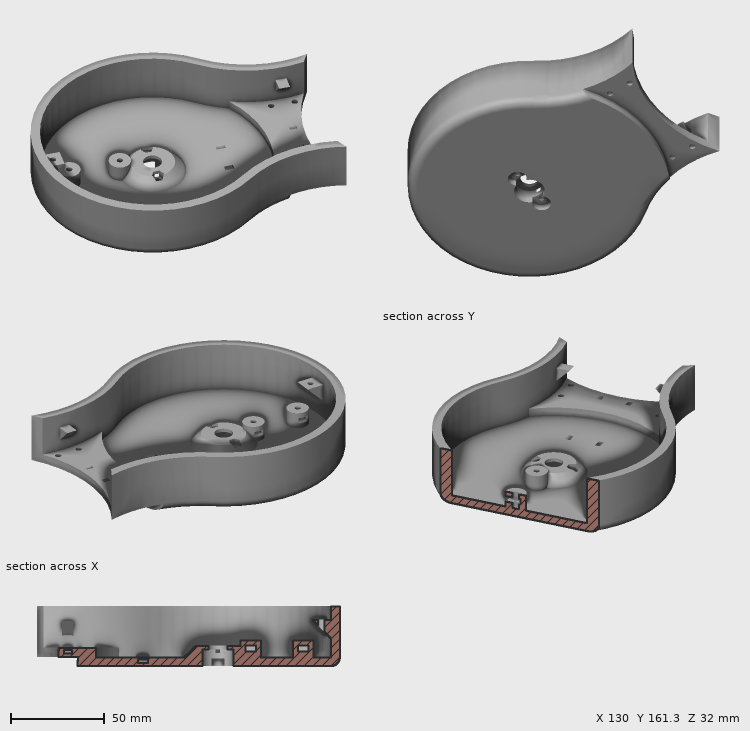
import cadquery as cq
import math

body_radius = 65.0
wall = 5.0
total_height = 32.0
floor_top = 5.0
bottom_fillet = 5.0

flank_radius = 65.0
flank_center_y = 80.0
flank_center_x = math.sqrt((body_radius + flank_radius) ** 2 - flank_center_y**2)
end_radius = 75.0
end_center_y = 160.0
neck_floor_bottom = 5.0
neck_floor_top = 10.0
base_end_radius = 75.0
step_radius = 65.0

screw_diameter = 3.4
neck_hole_x = 28.4
neck_hole_offset_y = 6.5

side_bracket_top = 24.0
front_bracket_top = 25.0
side_bracket_width = 6.0
side_bracket_tip = 25.0
front_bracket_width = 10.0
front_bracket_tip = 50.0
front_bracket_hole = 55.0

boss_base_radius = 18.0
boss_top_radius = 12.0
boss_height = 6.0
boss_top = floor_top + boss_height
bore_diameter = 10.0
seat_diameter = 16.4
seat_lip = 2.0
boss_screw_x = 11.0
screw_head_diameter = 10.0
screw_head_depth = 4.0
nut_flats = 5.8
nut_sides = 6
nut_corners = nut_flats / math.cos(math.pi / nut_sides)
boss_nut_depth = 4.0

post_x = -2.3
post_ys = (-17.4, -45.4)
post_diameter = 12.0
post_height = 9.0
post_slot_width = 5.5
post_slot_height = 3.0
post_slot_bottom = 3.0

tie_depth = 3.0
neck_tie_y = 79.9
neck_tie_width = 4.0
neck_tie_inner = 6.9
neck_tie_outer = 10.05
body_tie_y = 40.0
body_tie_width = 5.0
body_tie_inner = 7.3
body_tie_outer = 10.5


def cylinder(x, y, radius, bottom, top):
    return cq.Workplane("XY", origin=(x, y, bottom)).circle(radius).extrude(top - bottom)


def footprint(inset, bottom, top):
    """Round body blended into the neck, offset inward by inset and closed by the end arc."""
    radius = body_radius - inset
    flank = flank_radius + inset
    span = body_radius + flank_radius
    joint_x = flank_center_x * radius / span
    joint_y = flank_center_y * radius / span

    gap = math.hypot(flank_center_x, end_center_y - flank_center_y)
    along = (flank**2 - end_radius**2 + gap**2) / (2 * gap)
    across = math.sqrt(flank**2 - along**2)
    unit_x = -flank_center_x / gap
    unit_y = (end_center_y - flank_center_y) / gap
    tip_x = flank_center_x + along * unit_x - across * unit_y
    tip_y = flank_center_y + along * unit_y + across * unit_x

    waist_x = flank_center_x - flank
    return (
        cq.Workplane("XY", origin=(0, 0, bottom))
        .moveTo(joint_x, joint_y)
        .threePointArc((waist_x, flank_center_y), (tip_x, tip_y))
        .threePointArc((0, end_center_y - end_radius), (-tip_x, tip_y))
        .threePointArc((-waist_x, flank_center_y), (-joint_x, joint_y))
        .threePointArc((0, -radius), (joint_x, joint_y))
        .close()
        .extrude(top - bottom)
    )


def shell():
    outside = footprint(0, 0, total_height)
    outside = outside.faces("<Z").edges("not(>Y)").fillet(bottom_fillet)

    beyond_base = cylinder(0, 0, end_center_y, 0, neck_floor_bottom).cut(
        cylinder(0, 0, base_end_radius, 0, neck_floor_bottom)
    )
    body_cavity = footprint(wall, floor_top, total_height).intersect(
        cylinder(0, 0, step_radius, floor_top, total_height)
    )
    neck_cavity = footprint(wall, neck_floor_top, total_height)
    return outside.cut(beyond_base).cut(body_cavity).cut(neck_cavity)


def neck_holes():
    holes = cq.Workplane("XY")
    for side in (-1, 1):
        for offset in (-neck_hole_offset_y, neck_hole_offset_y):
            holes = holes.add(
                cylinder(
                    side * neck_hole_x,
                    flank_center_y + offset,
                    screw_diameter / 2,
                    neck_floor_bottom,
                    neck_floor_top,
                )
            )
    return holes.combine()


def bracket(tip, root, width, top):
    """Wedge along +X, centred on the X axis, from a sharp tip to full depth at the root."""
    depth = root - tip
    return (
        cq.Workplane("XZ", origin=(0, width / 2, 0))
        .polyline([(tip, top), (root, top), (root, top - depth)])
        .close()
        .extrude(width)
    )


def brackets():
    waist = flank_center_x - flank_radius
    right = bracket(side_bracket_tip, waist - wall / 2, side_bracket_width, side_bracket_top)
    right = right.translate((0, flank_center_y, 0))
    left = right.mirror("YZ")
    front_root = body_radius - wall / 2
    front = bracket(front_bracket_tip, front_root, front_bracket_width, front_bracket_top)
    front = front.rotate((0, 0, 0), (0, 0, 1), -90)
    hole = cylinder(0, -front_bracket_hole, screw_diameter / 2, floor_top, front_bracket_top)
    front = front.cut(hole)
    return right.union(left).union(front)


def boss():
    return (
        cq.Workplane("XZ")
        .polyline(
            [(0, floor_top), (boss_base_radius, floor_top), (boss_top_radius, boss_top), (0, boss_top)]
        )
        .close()
        .revolve(360, (0, 0, 0), (0, 1, 0))
    )


def boss_openings():
    openings = cylinder(0, 0, bore_diameter / 2, 0, boss_top)
    openings = openings.union(cylinder(0, 0, seat_diameter / 2, 0, boss_top - seat_lip))
    for x in (-boss_screw_x, boss_screw_x):
        nut = (
            cq.Workplane("XY")
            .polygon(nut_sides, nut_corners)
            .extrude(boss_nut_depth)
            .rotate((0, 0, 0), (0, 0, 1), 90)
            .translate((x, 0, boss_top - boss_nut_depth))
        )
        screw = cylinder(x, 0, screw_diameter / 2, 0, boss_top)
        head = cylinder(x, 0, screw_head_diameter / 2, 0, screw_head_depth)
        openings = openings.union(nut).union(screw).union(head)
    return openings


def post(y):
    top = floor_top + post_height
    body = cylinder(post_x, y, post_diameter / 2, floor_top, top)
    hole = cylinder(post_x, y, screw_diameter / 2, floor_top, top)

    slot_end = post_x + post_slot_width / 2
    slot_start = post_x - post_diameter / 2
    slot = cq.Workplane("XY").box(
        slot_end - slot_start, post_slot_width, post_slot_height, centered=(False, True, False)
    )
    slot = slot.translate((slot_start, y, floor_top + post_slot_bottom))
    return body.cut(hole).cut(slot)


def tie_channel(y, width, inner, outer, floor):
    """Ring about a Y-parallel axis that crosses the floor at inner and outer from the centre."""
    outer_radius = (outer**2 / tie_depth + tie_depth) / 2
    axis_height = outer_radius - tie_depth
    inner_radius = math.hypot(inner, axis_height)
    return (
        cq.Workplane("XZ", origin=(0, y + width / 2, floor + axis_height))
        .circle(outer_radius)
        .circle(inner_radius)
        .extrude(width)
    )


result = shell().union(brackets()).union(boss())
for post_y in post_ys:
    result = result.union(post(post_y))
result = result.cut(boss_openings())
result = result.cut(neck_holes())
result = result.cut(
    tie_channel(neck_tie_y, neck_tie_width, neck_tie_inner, neck_tie_outer, neck_floor_top)
)
result = result.cut(
    tie_channel(body_tie_y, body_tie_width, body_tie_inner, body_tie_outer, floor_top)
)